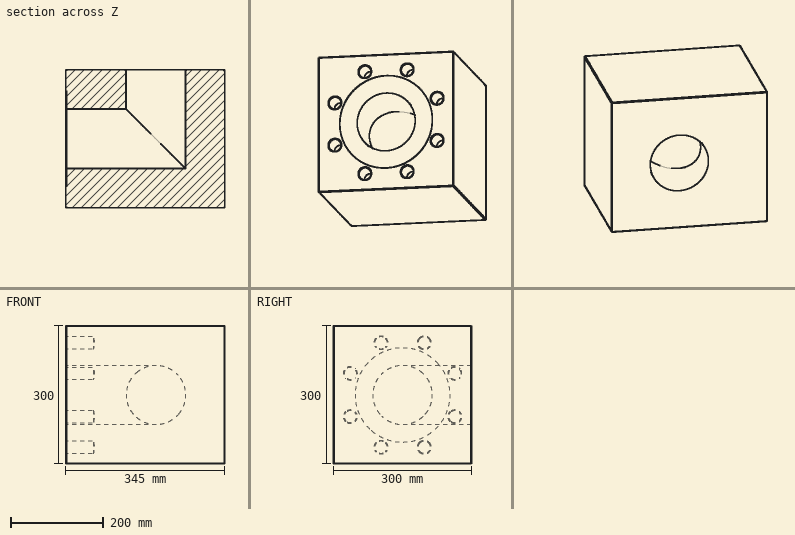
import cadquery as cq
import math

LENGTH = 345.0
SIDE = 300.0
EDGE_CHAMFER = 2.0
INLET_X = -LENGTH / 2

BORE_DIAMETER = 128.5
OUTLET_X = LENGTH / 2 - SIDE / 2

RECESS_DIAMETER = 205.19
RECESS_DEPTH = 2.0

BOLT_COUNT = 8
BOLT_CIRCLE_DIAMETER = 245.0
BOLT_HOLE_DIAMETER = 26.5
BOLT_MOUTH_DIAMETER = 30.0
BOLT_HOLE_DEPTH = 60.0
DRILL_POINT_ANGLE = 160.0


def chamfered_block():
    return cq.Workplane("XY").box(LENGTH, SIDE, SIDE).edges().chamfer(EDGE_CHAMFER)


def inlet_cylinder(diameter, depth):
    """Cylinder centred on the inlet, running inward from the inlet face."""
    return cq.Workplane("YZ", origin=(INLET_X, 0, 0)).circle(diameter / 2).extrude(depth)


def outlet_cylinder(start_y, length):
    """Cylinder on the outlet axis, running toward +Y from start_y."""
    return cq.Workplane("XZ", origin=(OUTLET_X, start_y, 0)).circle(BORE_DIAMETER / 2).extrude(-length)


def elbow_passage():
    """Two equal bores at right angles, meeting in a mitred corner."""
    bore_radius = BORE_DIAMETER / 2
    inlet_length = OUTLET_X - INLET_X
    outlet_length = SIDE / 2
    inlet_run = inlet_cylinder(BORE_DIAMETER, inlet_length)
    outlet_run = outlet_cylinder(0, outlet_length)
    inlet_past_corner = inlet_cylinder(BORE_DIAMETER, inlet_length + bore_radius)
    outlet_past_corner = outlet_cylinder(-bore_radius, outlet_length + bore_radius)
    corner = inlet_past_corner.intersect(outlet_past_corner)
    return inlet_run.union(outlet_run).union(corner)


def bolt_hole():
    """Drilled hole with a countersunk mouth and a conical bottom, turned about the X axis."""
    hole_radius = BOLT_HOLE_DIAMETER / 2
    mouth_radius = BOLT_MOUTH_DIAMETER / 2
    mouth_depth = mouth_radius - hole_radius
    point_length = hole_radius / math.tan(math.radians(DRILL_POINT_ANGLE / 2))
    profile = [
        (0, 0),
        (0, mouth_radius),
        (mouth_depth, hole_radius),
        (BOLT_HOLE_DEPTH, hole_radius),
        (BOLT_HOLE_DEPTH + point_length, 0),
    ]
    return cq.Workplane("XY").polyline(profile).close().revolve(360, (0, 0, 0), (1, 0, 0))


def cut_bolt_holes(body):
    pitch = 2 * math.pi / BOLT_COUNT
    radius = BOLT_CIRCLE_DIAMETER / 2
    for index in range(BOLT_COUNT):
        angle = (index + 0.5) * pitch
        place = (INLET_X, radius * math.cos(angle), radius * math.sin(angle))
        body = body.cut(bolt_hole().translate(place))
    return body


block = chamfered_block()
block = block.cut(inlet_cylinder(RECESS_DIAMETER, RECESS_DEPTH))
block = block.cut(elbow_passage())
result = cut_bolt_holes(block)